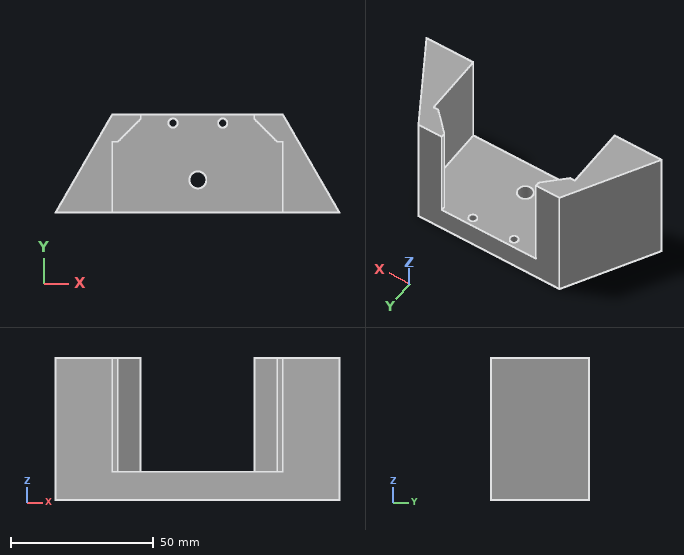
import cadquery as cq
import math

base_width = 100.0
back_width = 60.0
flank_angle = math.radians(60)
depth = (base_width - back_width) / 2 * math.tan(flank_angle)
height = 50.0
floor_thickness = 10.0

channel_width = 60.0
channel_straight_depth = 25.0
ledge_width = 2.0
back_opening = 40.0
lip_run = (channel_width - back_opening) / 2 - ledge_width

hole_pattern_x = 0.13
large_hole_diameter = 5.9
large_hole_y = depth / 3
small_hole_diameter = 3.15
small_hole_spacing = 17.5
small_hole_back_distance = 3.1
small_hole_y = depth - small_hole_back_distance


def mirrored_prism(right_side, bottom, top):
    """Extrude an outline given by its right-hand points, mirrored about X = 0."""
    left_side = [(-x, y) for x, y in reversed(right_side)]
    outline = cq.Workplane("XY").workplane(offset=bottom).polyline(right_side + left_side)
    return outline.close().extrude(top - bottom)


def make_block():
    return mirrored_prism([(base_width / 2, 0), (back_width / 2, depth)], 0, height)


def make_channel():
    ledge_x = channel_width / 2 - ledge_width
    right_side = [
        (channel_width / 2, 0),
        (channel_width / 2, channel_straight_depth),
        (ledge_x, channel_straight_depth),
        (back_opening / 2, channel_straight_depth + lip_run),
        (back_opening / 2, depth),
    ]
    return mirrored_prism(right_side, floor_thickness, height)


def make_floor_hole(x, y, diameter):
    return cq.Workplane("XY").center(x, y).circle(diameter / 2).extrude(floor_thickness)


result = make_block().cut(make_channel())
result = result.cut(make_floor_hole(hole_pattern_x, large_hole_y, large_hole_diameter))
for side in (-1, 1):
    small_hole_x = hole_pattern_x + side * small_hole_spacing / 2
    result = result.cut(make_floor_hole(small_hole_x, small_hole_y, small_hole_diameter))